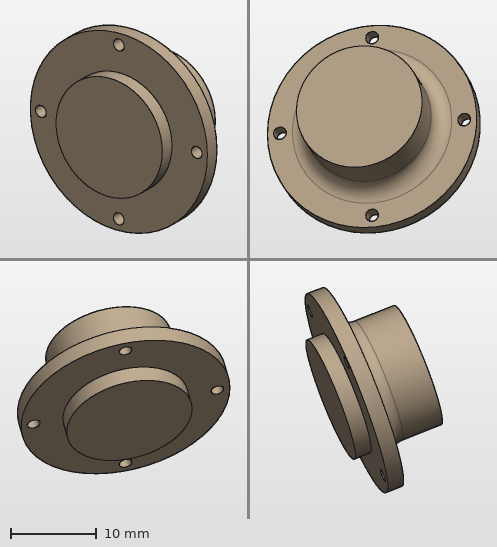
import cadquery as cq

flange_diameter = 25
flange_thickness = 2
hub_diameter = 15
front_boss_length = 2
rear_hub_length = 7
root_fillet_radius = 2
hole_diameter = 1.5
hole_count = 4
hole_circle_radius = 11

hub_radius = hub_diameter / 2
flange_radius = flange_diameter / 2

front_end = -front_boss_length
flange_back = flange_thickness
fillet_end = flange_back + root_fillet_radius
rear_end = flange_back + rear_hub_length


def make_body():
    """Revolve the half profile, including the concave fillet behind the flange."""
    profile = (
        cq.Workplane("XY")
        .moveTo(0, front_end)
        .lineTo(hub_radius, front_end)
        .lineTo(hub_radius, 0)
        .lineTo(flange_radius, 0)
        .lineTo(flange_radius, flange_back)
        .lineTo(hub_radius + root_fillet_radius, flange_back)
        .radiusArc((hub_radius, fillet_end), root_fillet_radius)
        .lineTo(hub_radius, rear_end)
        .lineTo(0, rear_end)
        .close()
    )
    return profile.revolve(360, (0, 0, 0), (0, 1, 0))


def make_flange_holes():
    """Cylinders that pass through the flange on the X and Z axes."""
    return (
        cq.Workplane("XZ")
        .polarArray(hole_circle_radius, 0, 360, hole_count)
        .circle(hole_diameter / 2)
        .extrude(-flange_thickness)
    )


result = make_body().cut(make_flange_holes())